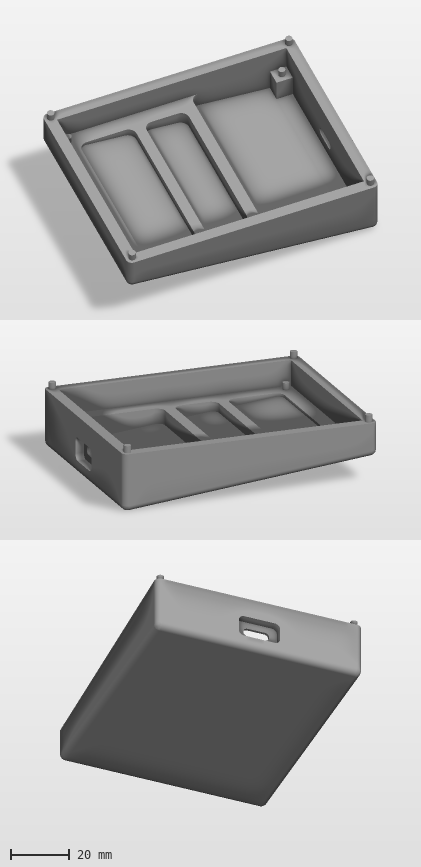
import cadquery as cq
import math


width = 75.2
depth = 92.7
front_height = 11.9
bottom_angle = 5.6
edge_radius = 2.0
wall = 4.0

ledge_depth = 9.2
floor_thickness = 2.6
ledge_margin = 5.7
pocket_radius = 3.0
front_pocket_y = (9.55, 29.7)
middle_pocket_y = (33.5, 49.1)
rear_pocket_start = 53.2
flat_floor_start = 82.4
corner_block_depth = 6.0

pin_height = 2.5
rim_pin_diameter = 2.5
rim_pin_inset = 2.3
ledge_pin_diameter = 2.4
ledge_pin_inset = 6.9

slot_length = 9.5
slot_height = 3.2
slot_drop = 12.0
slot_skin = 0.9
recess_length = 15.0
recess_height = 8.3
recess_radius = 2.0

bottom_slope = math.tan(math.radians(bottom_angle))
inner_x = width / 2 - wall
inner_back = depth - wall
pocket_x = inner_x - ledge_margin


def bottom_z(y):
    """Height of the sloping underside at a given Y."""
    return -front_height - bottom_slope * y


def floor_z(y):
    """Height of the sloping pocket floor at a given Y."""
    return bottom_z(y) + floor_thickness


def block(x_range, y_range, z_range):
    """Axis-aligned box given by its limits."""
    sizes = [high - low for low, high in (x_range, y_range, z_range)]
    corner = (x_range[0], y_range[0], z_range[0])
    return cq.Workplane("XY").box(*sizes, centered=False).translate(corner)


def side_prism(points, x_range):
    """Extrude a (Y, Z) outline along X between two limits."""
    plane = cq.Workplane("YZ", origin=(x_range[0], 0, 0))
    return plane.polyline(points).close().extrude(x_range[1] - x_range[0])


def outer_body():
    """Wedge-shaped solid with rounded corners and a rounded bottom edge."""
    outline = [(0, 0), (depth, 0), (depth, bottom_z(depth)), (0, bottom_z(0))]
    body = side_prism(outline, (-width / 2, width / 2))
    body = body.edges("|Z").fillet(edge_radius)
    return body.faces("<Z").edges().fillet(edge_radius)


def pocket(x_range, y_range, flat_from=None):
    """Rounded pocket below the ledge; its floor is level beyond flat_from."""
    start, end = y_range
    outline = [(end, -ledge_depth), (start, -ledge_depth), (start, floor_z(start))]
    if flat_from is None:
        outline.append((end, floor_z(end)))
    else:
        outline.append((flat_from, floor_z(flat_from)))
        outline.append((end, floor_z(flat_from)))
    return side_prism(outline, x_range).edges("|Z").fillet(pocket_radius)


def pins(diameter, inset, base_z):
    """Four pins standing at the corners, inset equally from the outer sides."""
    return (
        cq.Workplane("XY", origin=(0, depth / 2, base_z))
        .rect(width - 2 * inset, depth - 2 * inset, forConstruction=True)
        .vertices()
        .circle(diameter / 2)
        .extrude(pin_height)
    )


def connector_slot():
    """Round-ended slot through the back wall."""
    plane = cq.Workplane("XZ", origin=(0, depth, -slot_drop))
    return plane.slot2D(slot_length, slot_height).extrude(wall)


def outer_recess():
    """Rounded rectangular recess that leaves a thin skin around the slot."""
    plane = cq.Workplane("XZ", origin=(0, depth, -slot_drop))
    recess = plane.rect(recess_length, recess_height).extrude(wall - slot_skin)
    return recess.edges("|Y").fillet(recess_radius)


cavity = block((-inner_x, inner_x), (wall, inner_back), (-ledge_depth, 0))
result = outer_body().cut(cavity)

result = result.cut(pocket((-pocket_x, pocket_x), front_pocket_y))
result = result.cut(pocket((-pocket_x, pocket_x), middle_pocket_y))
rear_pocket = pocket((-inner_x, pocket_x), (rear_pocket_start, inner_back), flat_floor_start)
corner_block = block(
    (-inner_x, -pocket_x),
    (inner_back - corner_block_depth, inner_back),
    (bottom_z(depth), -ledge_depth),
)
result = result.cut(rear_pocket.cut(corner_block))

result = result.cut(connector_slot())
result = result.cut(outer_recess())

result = result.union(pins(rim_pin_diameter, rim_pin_inset, 0))
result = result.union(pins(ledge_pin_diameter, ledge_pin_inset, -ledge_depth))